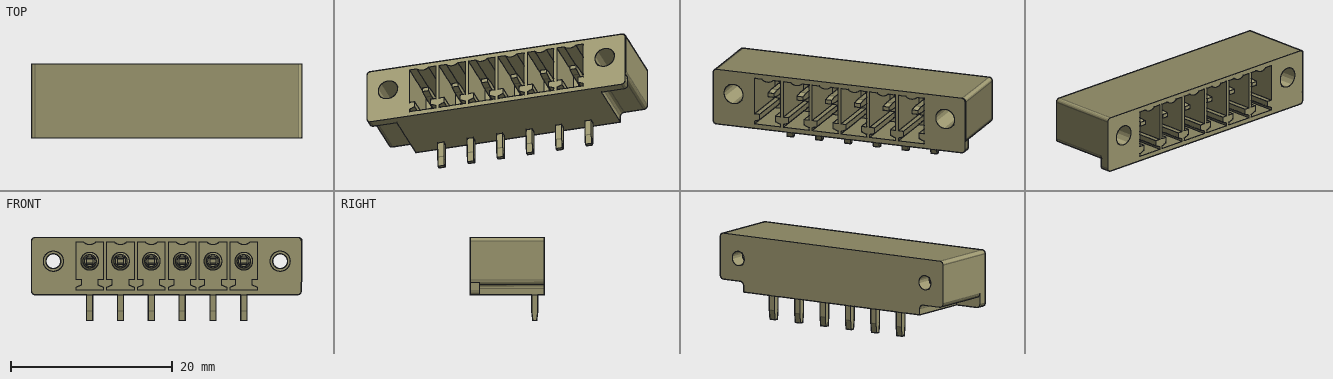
import cadquery as cq
import math

POLES = 6
PITCH = 3.81
LENGTH = 33.45
DEPTH = 9.2
HEIGHT = 7.1
FLANGE_THICKNESS = 1.2
CORNER_RADIUS = 0.45
BODY_OVERHANG = 0.1
BODY_SETBACK = 0.05

RELIEF_RADIUS = 0.5
FOOT_HEIGHT = 0.8
FOOT_INSET = 3.5

CAVITY_DEPTH = 7.0
PARTITION = 0.4
CAVITY_WIDTH = PITCH - PARTITION
FLOOR_THICKNESS = 0.6
ROOF_THICKNESS = 0.6
CAVITY_TOP = HEIGHT - ROOF_THICKNESS
RAIL_WIDTH = 0.67
RAIL_FLOOR_GAP = 0.33
RAIL_UNDERSIDE = FLOOR_THICKNESS + RAIL_FLOOR_GAP
RAIL_SLOPE_RISE = 0.28
RAIL_SIDE_HEIGHT = 0.7
ROOF_BEAD_WIDTH = 1.5
ROOF_BEAD_DROP = 0.3

AXIS_BELOW_TOP = 2.95
AXIS_HEIGHT = HEIGHT - AXIS_BELOW_TOP
BOSS_BASE_DIAMETER = 2.2
BOSS_SHOULDER_DIAMETER = 1.65
BOSS_TIP_DIAMETER = 1.3
BOSS_BASE_LENGTH = 0.75
BOSS_TIP_LENGTH = 0.1

SCREW_TO_CONTACT = 4.49
SCREW_X = (POLES - 1) * PITCH / 2 + SCREW_TO_CONTACT
SCREW_ENTRY_DIAMETER = 2.5
SCREW_ENTRY_DEPTH = CAVITY_DEPTH
SCREW_CORE_DIAMETER = 1.8

WIRE = 0.8
LEG_LENGTH = 3.2
LEG_BACK_OFFSET = 0.8
LEG_BACK = DEPTH - LEG_BACK_OFFSET
CONTACT_TIP_SETBACK = 1.25
TIP_THICKNESS = 0.5
TIP_TAPER = (WIRE - TIP_THICKNESS) / 2
TIP_TAPER_LENGTH = 1.2

FRONT_PLANE = cq.Plane(origin=(0, 0, 0), xDir=(1, 0, 0), normal=(0, -1, 0))
SIDE_PLANE = cq.Plane.YZ()

contact_xs = [(i - (POLES - 1) / 2) * PITCH for i in range(POLES)]


def front_sketch(y):
    """Workplane in X and Z at depth y; a negative extrusion runs towards +Y."""
    return cq.Workplane(FRONT_PLANE).workplane(offset=-y)


def make_body():
    """Main block, full depth, with relieved lower ends."""
    left = -LENGTH / 2
    right = LENGTH / 2
    r = RELIEF_RADIUS
    step_top = FOOT_HEIGHT + 2 * r
    step_middle = FOOT_HEIGHT + r
    bend = r / math.sqrt(2)
    foot_left = left + FOOT_INSET
    foot_right = right - FOOT_INSET
    outline = (
        front_sketch(BODY_SETBACK)
        .moveTo(foot_left, 0)
        .lineTo(foot_left, FOOT_HEIGHT)
        .threePointArc((foot_left - r + bend, FOOT_HEIGHT + bend), (foot_left - r, step_middle))
        .lineTo(left + r, step_middle)
        .threePointArc((left + r - bend, step_top - bend), (left, step_top))
        .lineTo(left, HEIGHT)
        .lineTo(right, HEIGHT)
        .lineTo(right, step_top)
        .threePointArc((right - r + bend, step_top - bend), (right - r, step_middle))
        .lineTo(foot_right + r, step_middle)
        .threePointArc((foot_right + r - bend, FOOT_HEIGHT + bend), (foot_right, FOOT_HEIGHT))
        .lineTo(foot_right, 0)
        .close()
    )
    return outline.extrude(BODY_SETBACK - DEPTH).edges("|Y and >Z").fillet(CORNER_RADIUS)


def make_flange():
    flange_length = LENGTH - BODY_OVERHANG
    outline = front_sketch(0).center(-BODY_OVERHANG / 2, HEIGHT / 2).rect(flange_length, HEIGHT)
    flange = outline.extrude(-FLANGE_THICKNESS)
    return flange.edges("|Y").fillet(CORNER_RADIUS)


def make_cavity(x):
    """Cavity with a coding rail on each side and a rounded bead under the roof."""
    half = CAVITY_WIDTH / 2
    throat = half - RAIL_WIDTH
    slope_top = RAIL_UNDERSIDE + RAIL_SLOPE_RISE
    rail_top = slope_top + RAIL_SIDE_HEIGHT
    bead_half = ROOF_BEAD_WIDTH / 2
    return (
        front_sketch(0)
        .center(x, 0)
        .moveTo(-half, FLOOR_THICKNESS)
        .lineTo(half, FLOOR_THICKNESS)
        .lineTo(half, RAIL_UNDERSIDE)
        .lineTo(throat, slope_top)
        .lineTo(throat, rail_top)
        .lineTo(half, rail_top)
        .lineTo(half, CAVITY_TOP)
        .lineTo(bead_half, CAVITY_TOP)
        .threePointArc((0, CAVITY_TOP - ROOF_BEAD_DROP), (-bead_half, CAVITY_TOP))
        .lineTo(-half, CAVITY_TOP)
        .lineTo(-half, rail_top)
        .lineTo(-throat, rail_top)
        .lineTo(-throat, slope_top)
        .lineTo(-half, RAIL_UNDERSIDE)
        .close()
        .extrude(-CAVITY_DEPTH)
    )


def make_boss(x):
    """Two stacked cones standing forward from the back wall of a cavity."""
    shoulder = CAVITY_DEPTH - BOSS_BASE_LENGTH
    tip = shoulder - BOSS_TIP_LENGTH
    profile = (
        cq.Workplane("XY")
        .moveTo(x, CAVITY_DEPTH)
        .lineTo(x + BOSS_BASE_DIAMETER / 2, CAVITY_DEPTH)
        .lineTo(x + BOSS_SHOULDER_DIAMETER / 2, shoulder)
        .lineTo(x + BOSS_TIP_DIAMETER / 2, tip)
        .lineTo(x, tip)
        .close()
    )
    boss = profile.revolve(360, (x, 0, 0), (x, 1, 0))
    return boss.translate((0, 0, AXIS_HEIGHT))


def make_screw_hole(x):
    """Through hole with a wider entry from the front."""
    entry = front_sketch(0).center(x, AXIS_HEIGHT).circle(SCREW_ENTRY_DIAMETER / 2).extrude(-SCREW_ENTRY_DEPTH)
    core = front_sketch(0).center(x, AXIS_HEIGHT).circle(SCREW_CORE_DIAMETER / 2).extrude(-DEPTH)
    return entry.union(core)


def make_pin(x):
    """L-shaped square wire: contact towards the front, leg down through the floor."""
    leg_front = LEG_BACK - WIRE
    leg_end = -LEG_LENGTH
    leg_taper_start = leg_end + TIP_TAPER_LENGTH
    top = AXIS_HEIGHT + WIRE / 2
    underside = AXIS_HEIGHT - WIRE / 2
    contact_taper_start = CONTACT_TIP_SETBACK + TIP_TAPER_LENGTH
    side_outline = [
        (CONTACT_TIP_SETBACK, underside + TIP_TAPER),
        (CONTACT_TIP_SETBACK, top - TIP_TAPER),
        (contact_taper_start, top),
        (LEG_BACK, top),
        (LEG_BACK, leg_taper_start),
        (LEG_BACK - TIP_TAPER, leg_end),
        (leg_front + TIP_TAPER, leg_end),
        (leg_front, leg_taper_start),
        (leg_front, underside),
        (contact_taper_start, underside),
    ]
    wire = cq.Workplane(SIDE_PLANE).polyline(side_outline).close().extrude(WIRE / 2, both=True)
    return wire.translate((x, 0, 0))


pins = [make_pin(x) for x in contact_xs]

housing = make_body().union(make_flange())
for x in (-SCREW_X, SCREW_X):
    housing = housing.cut(make_screw_hole(x))
for x, pin in zip(contact_xs, pins):
    housing = housing.cut(make_cavity(x)).union(make_boss(x)).cut(pin)

result = cq.Compound.makeCompound([housing.val(), *[pin.val() for pin in pins]])